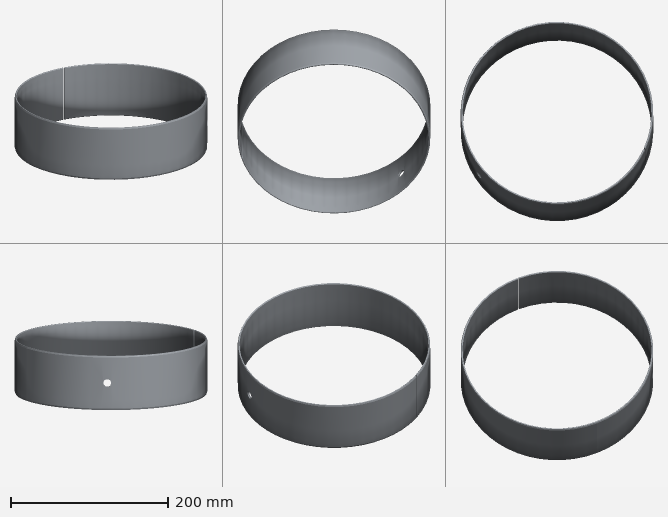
import cadquery as cq

outer_diameter = 245.0
height = 70.0
wall = 2.5
edge_drop = 2.0
edge_inset = 0.7
inner_bevel = 0.61
slit_width = 1.7
slit_offset = slit_width / 2
hole_diameter = 10.0
hole_angle = 58.9
hole_height = height / 2

outer_radius = outer_diameter / 2
inner_radius = outer_radius - wall
outer_rim_radius = outer_radius - edge_inset
inner_rim_radius = inner_radius + inner_bevel


def make_band():
    """Thin ring with both rims bevelled inside and out, revolved about Z."""
    section = [
        (inner_radius, inner_bevel),
        (inner_rim_radius, 0),
        (outer_rim_radius, 0),
        (outer_radius, edge_drop),
        (outer_radius, height - edge_drop),
        (outer_rim_radius, height),
        (inner_rim_radius, height),
        (inner_radius, height - inner_bevel),
    ]
    profile = cq.Workplane("XZ").polyline(section).close()
    return profile.revolve(360, (0, 0, 0), (0, 1, 0))


def make_slit():
    """Full-height gap through the wall on the -X side."""
    slit = cq.Workplane("XY").box(outer_radius, slit_width, height, centered=(False, True, False))
    return slit.translate((-1.5 * outer_radius, slit_offset, 0))


def make_hole():
    """Radial cylinder that pierces the wall once."""
    cylinder = cq.Workplane("YZ").circle(hole_diameter / 2).extrude(outer_diameter)
    cylinder = cylinder.translate((0, 0, hole_height))
    return cylinder.rotate((0, 0, 0), (0, 0, 1), hole_angle)


result = make_band().cut(make_slit()).cut(make_hole())